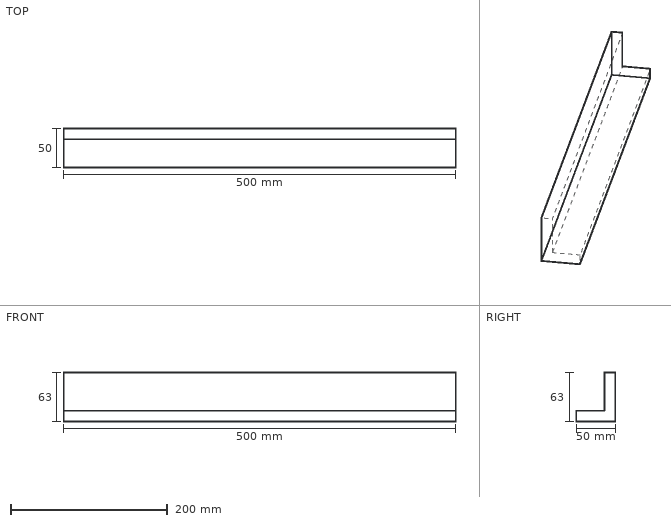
import cadquery as cq

length = 500.0
base_width = 50.0
upright_height = 63.0
thickness = 14.0

base = cq.Workplane("XY").box(length, base_width, thickness, centered=False)
upright = (
    cq.Workplane("XY")
    .box(length, thickness, upright_height, centered=False)
    .translate((0, base_width - thickness, 0))
)

result = base.union(upright).clean()